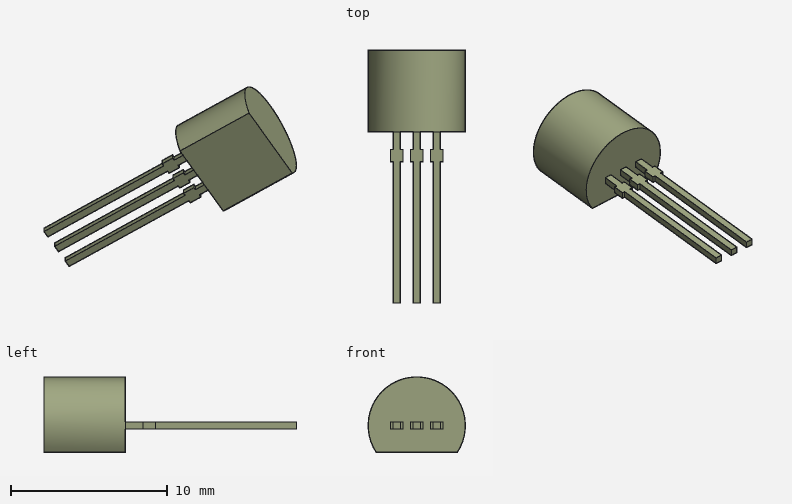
import cadquery as cq
import math

total_length = 16.11
body_length = 5.2
body_diameter = 6.2
body_height = 4.82

lead_count = 3
lead_pitch = 1.27
lead_width = 0.47
lead_thickness = 0.45
tab_width = 0.82
tab_length = 0.79
tab_gap = 1.11

body_radius = body_diameter / 2
flat_z = body_radius - body_height
flat_half_width = math.sqrt(body_radius**2 - flat_z**2)
back_y = total_length / 2
body_face_y = back_y - body_length
lead_length = total_length - body_length
tab_center_y = body_face_y - tab_gap - tab_length / 2


def make_body():
    """Extrude the circle segment above the flat from the back to the lead face."""
    return (
        cq.Workplane("XZ", origin=(0, back_y, 0))
        .moveTo(-flat_half_width, flat_z)
        .threePointArc((0, body_radius), (flat_half_width, flat_z))
        .close()
        .extrude(body_length)
    )


def make_lead(x):
    """Make a straight rectangular lead with a wider tab near the body."""
    lead_center_y = body_face_y - lead_length / 2
    lead = cq.Workplane("XY", origin=(x, lead_center_y, 0)).box(lead_width, lead_length, lead_thickness)
    tab = cq.Workplane("XY", origin=(x, tab_center_y, 0)).box(tab_width, tab_length, lead_thickness)
    return lead.union(tab)


result = make_body()
for index in range(lead_count):
    lead_x = (index - (lead_count - 1) / 2) * lead_pitch
    result = result.union(make_lead(lead_x))